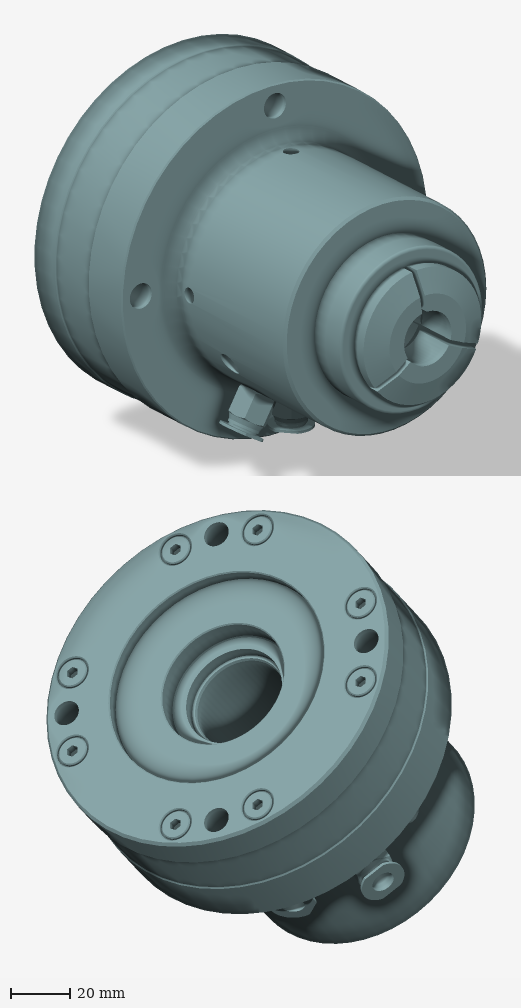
import cadquery as cq
import math

flange_diameter = 128.0
flange_radius = flange_diameter / 2
rear_disc_end = 13.0
waist_end = 31.7
flange_end = 51.2
flange_rear_chamfer = 1.0
flange_edge_chamfer = 0.49
waist_radius = flange_radius - flange_edge_chamfer

body_radius = 42.5
body_end = 115.1
body_fillet = 5.0
body_end_chamfer = 1.0

nose_radius = 29.9
nose_end = 130.0
nose_fillet = 1.1

recess_radius = 40.0
recess_depth = 5.0
counterbore_radius = 22.8
counterbore_end = 13.9
bore_radius = 18.0
bore_chamfer = 0.4

mount_hole_count = 4
bolt_circle_radius = 56.0
mount_hole_radius = 4.6
screw_offset_angle = 15.9
screw_head_radius = 5.3
screw_gap = 0.5
screw_gap_depth = 1.1
screw_edge_chamfer = 0.4
socket_radius = 2.2
socket_depth = 3.0

small_port_radius = 2.8
small_port_depth = 4.2
small_port_angles = (0, 90, 180)
open_port_radius = 4.5
open_port_depth = 16.0
open_port_x = 75.9
open_port_angle = 210
cut_clearance = 1.4

collet_start = 18.6
collet_end = 139.0
head_radius = 24.6
head_start = 132.0
head_end = 136.0
face_radius = 16.0
seat_half_angle = 15.0
collet_bore_radius = 16.4
collet_bore_chamfer = 0.4
collet_bore_chamfer_length = 1.0
grip_radius = 9.9
grip_start = 122.3
throat_start = 113.3
slot_width = 2.0
slot_start = 83.4
slot_count = 3
slot_lean = 8.0
seat_start = head_start - (head_radius - bore_radius) / math.tan(math.radians(seat_half_angle))
seat_radius_at_nose = head_radius - (head_start - nose_end) * math.tan(math.radians(seat_half_angle))

stem_bottom = 34.8
stem_radius = open_port_radius
hex_bottom = 42.4
hex_top = 52.7
hex_diameter = 15.0
hex_corner_angle = 47.0
hex_chamfer_radius = 6.4
hex_chamfer_angle = 30.0
collar_base_radius = hex_chamfer_radius
collar_radius = 5.7
collar_top = 54.5
ring_top = 55.5
neck_radius = 5.1
neck_top = 56.5
button_radius = 8.0
button_flat_distance = 7.1
button_top = 57.4
hose_bore_radius = 4.0

small_port_x = 60.5
fitting_places = (
    (small_port_x, 180, 48),
    (71.0, 150, 0),
)


def turned(points):
    """Solid of revolution about the X axis from a closed (x, radius) outline."""
    return cq.Workplane("XY").polyline(points).close().revolve(360, (0, 0, 0), (1, 0, 0))


def radial_hole(x, angle, radius, depth):
    """Cutter for a blind hole entering the body surface square to the X axis."""
    hole = cq.Workplane("XY").circle(radius).extrude(depth + cut_clearance)
    hole = hole.translate((x, 0, body_radius - depth))
    return hole.rotate((0, 0, 0), (1, 0, 0), angle - 90)


def housing_blank():
    fc = flange_edge_chamfer
    outline = (
        cq.Workplane("XY")
        .moveTo(0, 0)
        .lineTo(0, flange_radius - flange_rear_chamfer)
        .lineTo(flange_rear_chamfer, flange_radius)
        .lineTo(rear_disc_end - fc, flange_radius)
        .lineTo(rear_disc_end, waist_radius)
        .lineTo(waist_end, waist_radius)
        .lineTo(waist_end + fc, flange_radius)
        .lineTo(flange_end - fc, flange_radius)
        .lineTo(flange_end, flange_radius - fc)
        .lineTo(flange_end, body_radius + body_fillet)
        .radiusArc((flange_end + body_fillet, body_radius), -body_fillet)
        .lineTo(body_end - body_end_chamfer, body_radius)
        .lineTo(body_end, body_radius - body_end_chamfer)
        .lineTo(body_end, nose_radius)
        .lineTo(nose_end - nose_fillet, nose_radius)
        .radiusArc((nose_end, nose_radius - nose_fillet), nose_fillet)
        .lineTo(nose_end, 0)
        .close()
    )
    return outline.revolve(360, (0, 0, 0), (1, 0, 0))


def housing_bore():
    c = bore_chamfer
    return turned([
        (0, 0),
        (0, recess_radius + c),
        (c, recess_radius),
        (recess_depth, recess_radius),
        (recess_depth, counterbore_radius + c),
        (recess_depth + c, counterbore_radius),
        (counterbore_end - c, counterbore_radius),
        (counterbore_end, counterbore_radius - c),
        (counterbore_end, bore_radius),
        (seat_start, bore_radius),
        (nose_end, seat_radius_at_nose),
        (nose_end, 0),
    ])


def screw_recess():
    """Gap around a flush screw head, and its hex socket, on the X axis."""
    outer = screw_head_radius + screw_gap
    c = screw_edge_chamfer
    gap = turned([
        (0, screw_head_radius - c),
        (0, outer + c),
        (c, outer),
        (screw_gap_depth, outer),
        (screw_gap_depth, screw_head_radius),
        (c, screw_head_radius),
    ])
    socket = cq.Workplane("YZ").polygon(6, 2 * socket_radius).extrude(socket_depth)
    return gap.union(socket.rotate((0, 0, 0), (1, 0, 0), 90))


def on_bolt_circle(cutter, angle):
    turn = math.radians(angle)
    return cutter.translate((0, bolt_circle_radius * math.cos(turn), bolt_circle_radius * math.sin(turn)))


def make_housing(fitting_seats):
    housing = housing_blank().cut(housing_bore())
    mount_hole = cq.Workplane("YZ").circle(mount_hole_radius).extrude(flange_end)
    recess = screw_recess()
    for index in range(mount_hole_count):
        hole_angle = index * 360 / mount_hole_count
        housing = housing.cut(on_bolt_circle(mount_hole, hole_angle))
        for side in (-1, 1):
            housing = housing.cut(on_bolt_circle(recess, hole_angle + side * screw_offset_angle))
    for angle in small_port_angles:
        housing = housing.cut(radial_hole(small_port_x, angle, small_port_radius, small_port_depth))
    housing = housing.cut(radial_hole(open_port_x, open_port_angle, open_port_radius, open_port_depth))
    for seat in fitting_seats:
        housing = housing.cut(seat)
    return housing


def make_collet():
    c = collet_bore_chamfer
    collet = turned([
        (collet_start, collet_bore_radius + c),
        (collet_start, bore_radius),
        (seat_start, bore_radius),
        (head_start, head_radius),
        (head_end, head_radius),
        (collet_end, face_radius),
        (collet_end, grip_radius),
        (grip_start, grip_radius),
        (throat_start, collet_bore_radius),
        (collet_start + collet_bore_chamfer_length, collet_bore_radius),
    ])
    slot = (
        cq.Workplane("XY")
        .box(collet_end - slot_start, slot_width, head_radius, centered=(False, True, False))
        .translate((slot_start, 0, 0))
    )
    for index in range(slot_count):
        collet = collet.cut(slot.rotate((0, 0, 0), (1, 0, 0), slot_lean + index * 360 / slot_count))
    return collet


def fitting_blank():
    """Fitting without its hose bore, standing on the Z axis."""
    hex_nut = (
        cq.Workplane("XY", origin=(0, 0, hex_bottom))
        .polygon(6, hex_diameter)
        .extrude(hex_top - hex_bottom)
        .rotate((0, 0, 0), (0, 0, 1), hex_corner_angle)
    )
    chamfer_reach = hex_diameter - hex_chamfer_radius
    chamfer_rise = chamfer_reach * math.tan(math.radians(hex_chamfer_angle))
    corner_cone = (
        cq.Workplane("XZ")
        .moveTo(0, hex_bottom)
        .lineTo(hex_chamfer_radius, hex_bottom)
        .lineTo(hex_diameter, hex_bottom + chamfer_rise)
        .lineTo(hex_diameter, hex_top - chamfer_rise)
        .lineTo(hex_chamfer_radius, hex_top)
        .lineTo(0, hex_top)
        .close()
        .revolve(360, (0, 0, 0), (0, 1, 0))
    )
    stem = (
        cq.Workplane("XY", origin=(0, 0, stem_bottom))
        .circle(stem_radius)
        .extrude(hex_bottom - stem_bottom)
    )
    collar = (
        cq.Workplane("XZ")
        .moveTo(0, hex_top)
        .lineTo(collar_base_radius, hex_top)
        .lineTo(collar_radius, collar_top)
        .lineTo(collar_radius, ring_top)
        .lineTo(neck_radius, ring_top)
        .lineTo(neck_radius, neck_top)
        .lineTo(0, neck_top)
        .close()
        .revolve(360, (0, 0, 0), (0, 1, 0))
    )
    button_thickness = button_top - neck_top
    button = cq.Workplane("XY", origin=(0, 0, neck_top)).circle(button_radius).extrude(button_thickness)
    flats = (
        cq.Workplane("XY", origin=(0, 0, neck_top))
        .rect(2 * button_flat_distance, 2 * button_radius)
        .extrude(button_thickness)
    )
    return hex_nut.intersect(corner_cone).union(stem).union(collar).union(button.intersect(flats))


def place_fitting(shape, place):
    x, tilt, spin = place
    shape = shape.rotate((0, 0, 0), (0, 0, 1), spin)
    shape = shape.rotate((0, 0, 0), (1, 0, 0), tilt)
    return shape.translate((x, 0, 0))


def make_fitting(place):
    bore = (
        cq.Workplane("XY", origin=(0, 0, stem_bottom))
        .circle(hose_bore_radius)
        .extrude(button_top - stem_bottom)
    )
    return place_fitting(fitting_blank().cut(bore), place)


housing = make_housing([place_fitting(fitting_blank(), place) for place in fitting_places])
collet = make_collet()
fittings = [make_fitting(place) for place in fitting_places]

result = cq.Compound.makeCompound([
    housing.val(),
    collet.val(),
    *[fitting.val() for fitting in fittings],
])